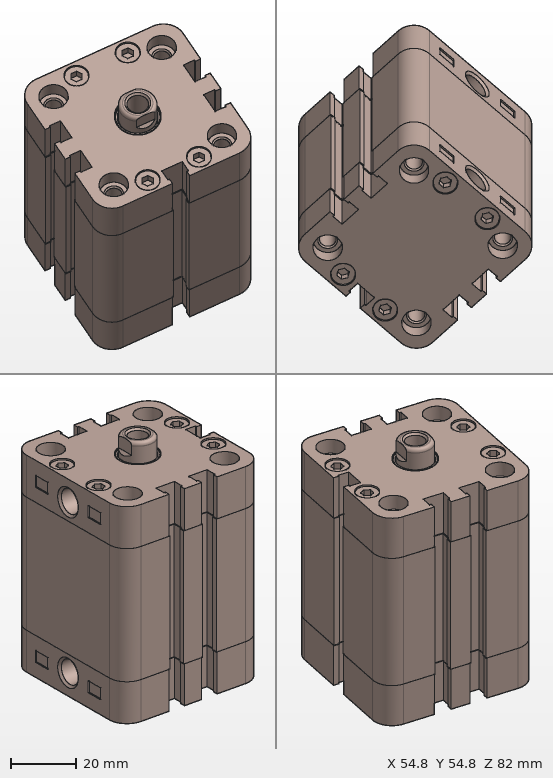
import cadquery as cq
import math


OVERALL_HEIGHT = 82.0
BODY_SIDE = 54.8
CORNER_RADIUS = 6.9
CAP_HEIGHT = 14.5
ROD_PROJECTION = 7.0
BODY_HEIGHT = OVERALL_HEIGHT - ROD_PROJECTION
BARREL_HEIGHT = BODY_HEIGHT - 2 * CAP_HEIGHT
HALF_SIDE = BODY_SIDE / 2

SLOT_OFFSET = 6.4
BARREL_MOUTH_WIDTH = 5.4
BARREL_CAVITY_WIDTH = 6.6
BARREL_SLOT_DEPTH = 5.4
SLOT_LIP = 1.9
CAP_SLOT_CLEARANCE = 0.3

MOUNT_SPACING = 38.05
MOUNT_COUNTERBORE_DIAMETER = 9.0
MOUNT_COUNTERBORE_DEPTH = 5.0
MOUNT_HOLE_DIAMETER = 5.2
MOUNT_CHAMFER = 0.5

SCREW_SPACING_X = 45.0
SCREW_SPACING_Y = 18.0
SCREW_HEAD_DIAMETER = 7.5
SCREW_SEAT_DIAMETER = 7.7
SCREW_HEAD_RECESS = 0.5
SCREW_GAP_DEPTH = 0.8
HEX_ACROSS_FLATS = 3.45
HEX_DEPTH = 2.5

PORT_END_DISTANCE = 8.0
PORT_DIAMETER = 8.5
PORT_MOUTH_DIAMETER = 10.2
PORT_CHAMFER = (PORT_MOUTH_DIAMETER - PORT_DIAMETER) / 2
PORT_FLOOR_DIAMETER = 40.0

LABEL_OFFSET = 13.0
LABEL_WIDTH = 6.1
LABEL_HEIGHT = 4.1
LABEL_DEPTH = 0.5

ROD_DIAMETER = 12.0
ROD_EDGE_RADIUS = 1.3
ROD_FLATS = 10.0
ROD_FLAT_LENGTH = 4.6
ROD_THREAD_DIAMETER = 6.65
ROD_THREAD_DEPTH = 12.0
ROD_THREAD_CHAMFER = 0.65

SEAL_MOUTH_DIAMETER = 14.4
SEAL_RECESS_DIAMETER = 14.0
SEAL_RECESS_DEPTH = 1.0
SEAL_CHAMFER = (SEAL_MOUTH_DIAMETER - SEAL_RECESS_DIAMETER) / 2
LIP_OUTER_DIAMETER = 13.7
LIP_INNER_DIAMETER = 12.55
LIP_HEIGHT = 0.7


def slot_cutter(height, clearance):
    """T-slot entering the -Y face at X = 0, with its walls moved out by the clearance."""
    mouth_width = BARREL_MOUTH_WIDTH + 2 * clearance
    cavity_width = BARREL_CAVITY_WIDTH + 2 * clearance
    depth = BARREL_SLOT_DEPTH + clearance
    lip = SLOT_LIP
    mouth = cq.Workplane("XY").rect(mouth_width, 2 * depth).extrude(height)
    cavity = cq.Workplane("XY").center(0, (lip + depth) / 2).rect(cavity_width, depth - lip).extrude(height)
    return mouth.union(cavity).translate((0, -HALF_SIDE, 0))


def slotted_block(height, clearance):
    """Rounded square block with two slots on each Y face and one on the +X face."""
    block = cq.Workplane("XY").rect(BODY_SIDE, BODY_SIDE).extrude(height)
    block = block.edges("|Z").fillet(CORNER_RADIUS)
    slot = slot_cutter(height, clearance)
    for turn in (0, 180):
        for offset in (-SLOT_OFFSET, SLOT_OFFSET):
            block = block.cut(slot.translate((offset, 0, 0)).rotate((0, 0, 0), (0, 0, 1), turn))
    return block.cut(slot.rotate((0, 0, 0), (0, 0, 1), 90))


def cut_mounting_holes(cap):
    """Counterbored, chamfered holes through the cap corners."""
    counterbore_floor = CAP_HEIGHT - MOUNT_COUNTERBORE_DEPTH
    cap = (
        cap.faces(">Z").workplane(origin=(0, 0, 0))
        .rect(MOUNT_SPACING, MOUNT_SPACING, forConstruction=True).vertices()
        .cboreHole(MOUNT_HOLE_DIAMETER, MOUNT_COUNTERBORE_DIAMETER, MOUNT_COUNTERBORE_DEPTH)
    )
    countersinks = (
        cq.Workplane("XY").workplane(offset=counterbore_floor)
        .rect(MOUNT_SPACING, MOUNT_SPACING, forConstruction=True).vertices()
        .circle(MOUNT_HOLE_DIAMETER / 2 + MOUNT_CHAMFER).extrude(-MOUNT_CHAMFER, taper=45)
    )
    return cap.cut(countersinks)


def cut_screw_heads(cap):
    """Sunken screw heads, each with a narrow gap round it and a hexagon socket."""
    seat = cq.Workplane("XY").circle(SCREW_SEAT_DIAMETER / 2).extrude(-SCREW_HEAD_RECESS - SCREW_GAP_DEPTH)
    head_top = cq.Workplane("XY").workplane(offset=-SCREW_HEAD_RECESS)
    head = head_top.circle(SCREW_HEAD_DIAMETER / 2).extrude(-SCREW_GAP_DEPTH)
    across_corners = HEX_ACROSS_FLATS / math.cos(math.radians(30))
    socket = head_top.polygon(6, across_corners).extrude(-HEX_DEPTH).rotate((0, 0, 0), (0, 0, 1), 30)
    cutter = seat.cut(head).union(socket)
    for x in (-SCREW_SPACING_X / 2, SCREW_SPACING_X / 2):
        for y in (-SCREW_SPACING_Y / 2, SCREW_SPACING_Y / 2):
            cap = cap.cut(cutter.translate((x, y, CAP_HEIGHT)))
    return cap


def cut_port(cap):
    """Chamfered port in the -X face, ending on a cylinder about the cylinder axis."""
    port_face = cq.Workplane("YZ", origin=(-HALF_SIDE, 0, CAP_HEIGHT - PORT_END_DISTANCE))
    bore = port_face.circle(PORT_DIAMETER / 2).extrude(HALF_SIDE)
    core = cq.Workplane("XY").circle(PORT_FLOOR_DIAMETER / 2).extrude(CAP_HEIGHT)
    chamfer = port_face.circle(PORT_MOUTH_DIAMETER / 2).extrude(PORT_CHAMFER, taper=45)
    return cap.cut(bore.cut(core)).cut(chamfer)


def cut_labels(cap):
    """Shallow rectangular label recess on each side of the port."""
    labels = (
        cq.Workplane("YZ", origin=(-HALF_SIDE, 0, CAP_HEIGHT / 2))
        .pushPoints([(-LABEL_OFFSET, 0), (LABEL_OFFSET, 0)])
        .rect(LABEL_WIDTH, LABEL_HEIGHT).extrude(LABEL_DEPTH)
    )
    return cap.cut(labels)


def make_cap():
    """End cap with its outer face up at Z = CAP_HEIGHT."""
    cap = slotted_block(CAP_HEIGHT, CAP_SLOT_CLEARANCE)
    cap = cut_mounting_holes(cap)
    cap = cut_screw_heads(cap)
    cap = cut_port(cap)
    return cut_labels(cap)


def make_lower_cap():
    """End cap mirrored so that its outer face lies at Z = 0."""
    return make_cap().mirror("XY").translate((0, 0, CAP_HEIGHT))


def make_barrel():
    """Slotted middle section between the caps."""
    return slotted_block(BARREL_HEIGHT, 0).translate((0, 0, CAP_HEIGHT))


def make_upper_cap():
    """End cap bored for the rod, with a seal recess and wiper lip round the rod."""
    cap = make_cap()
    top = cq.Workplane("XY").workplane(offset=CAP_HEIGHT)
    rod_bore = cq.Workplane("XY").circle(ROD_DIAMETER / 2).extrude(CAP_HEIGHT)
    recess = top.circle(SEAL_RECESS_DIAMETER / 2).extrude(-SEAL_RECESS_DEPTH)
    mouth = top.circle(SEAL_MOUTH_DIAMETER / 2).extrude(-SEAL_CHAMFER, taper=45)
    lip = (
        cq.Workplane("XY").workplane(offset=CAP_HEIGHT - SEAL_RECESS_DEPTH)
        .circle(LIP_OUTER_DIAMETER / 2).circle(LIP_INNER_DIAMETER / 2).extrude(LIP_HEIGHT)
    )
    cap = cap.cut(rod_bore).cut(recess.union(mouth).cut(lip))
    return cap.translate((0, 0, BODY_HEIGHT - CAP_HEIGHT))


def make_rod():
    """Rod with a rounded end, two wrench flats with sloped run-outs and a threaded bore."""
    length = CAP_HEIGHT + ROD_PROJECTION
    rod = cq.Workplane("XY").circle(ROD_DIAMETER / 2).extrude(length)
    rod = rod.faces(">Z").edges().fillet(ROD_EDGE_RADIUS)
    rod = rod.faces(">Z").workplane().hole(ROD_THREAD_DIAMETER, ROD_THREAD_DEPTH)
    countersink = (
        cq.Workplane("XY").workplane(offset=length)
        .circle(ROD_THREAD_DIAMETER / 2 + ROD_THREAD_CHAMFER).extrude(-ROD_THREAD_CHAMFER, taper=45)
    )
    rod = rod.cut(countersink)
    flat_x = ROD_FLATS / 2
    flat_depth = ROD_DIAMETER / 2 - flat_x
    flat_bottom = length - ROD_FLAT_LENGTH
    flat = (
        cq.Workplane("XZ")
        .moveTo(flat_x, length)
        .lineTo(flat_x, flat_bottom)
        .lineTo(flat_x + flat_depth, flat_bottom - flat_depth)
        .lineTo(flat_x + flat_depth, length)
        .close().extrude(ROD_DIAMETER / 2, both=True)
    )
    rod = rod.cut(flat).cut(flat.mirror("YZ"))
    return rod.translate((0, 0, BODY_HEIGHT - CAP_HEIGHT))


lower_cap = make_lower_cap()
barrel = make_barrel()
upper_cap = make_upper_cap()
rod = make_rod()

result = cq.Compound.makeCompound([lower_cap.val(), barrel.val(), upper_cap.val(), rod.val()])